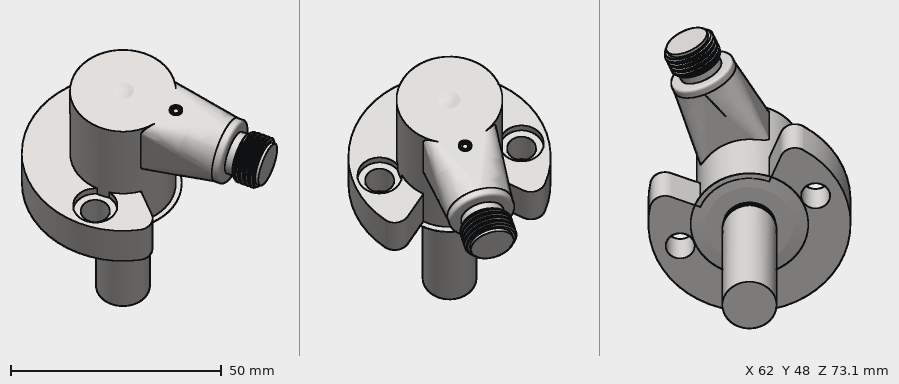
import cadquery as cq
import math

OVERALL_HEIGHT = 73.1
BODY_TOP = 72.65
FLANGE_TOP = 49.5
FLANGE_BOTTOM = 38.2
LIP_RIM_HEIGHT = 0.15
LIP_HEIGHT = 0.45
LIP_BOTTOM = FLANGE_BOTTOM - LIP_HEIGHT
ROD_TOP = 36.25

BODY_RADIUS = 12.6
CAP_RADIUS = 2.55
ROD_RADIUS = 6.4
NECK_RADIUS = 6.2
NECK_GROOVE_RADIUS = 6.0
NECK_GROOVE_WIDTH = 0.3
NECK_GROOVE_BOTTOM = 36.85
LIP_RIM_RADIUS = 13.95
LIP_BOTTOM_RADIUS = 10.4

FLANGE_DIAMETER = 48.0
FLANGE_RADIUS = FLANGE_DIAMETER / 2
NOTCH_HALF_ANGLE = math.radians(45)
NOTCH_CORNER_RADIUS = 3.6

HOLE_X = 0.95
HOLE_Y = 17.5
HOLE_DIAMETER = 6.9
COUNTERBORE_DIAMETER = 10.5
COUNTERBORE_DEPTH = 2.05

COLLAR_RADIUS = 8.05
HEAD_AXIS_Z = BODY_TOP - COLLAR_RADIUS
HEAD_ROOT_X = 4.4
HEAD_ROOT_HALF_WIDTH = 9.15
HEAD_ROOT_CORNER = 0.65
COLLAR_START_X = 27.05
COLLAR_END_X = 29.2
COLLAR_ROUNDING = 0.7
MERGED_HALF_FLAT = 0.01

SCREW_X = 13.9
SCREW_STEP_RADII = (1.5, 1.2, 0.7)
SCREW_STEP_DEPTH = 0.15

OVERALL_LENGTH = 62.0
CONNECTOR_RADIUS = 5.25
CONNECTOR_END_X = OVERALL_LENGTH - FLANGE_RADIUS
THREAD_START_X = 31.2
THREAD_END_X = 37.1
THREAD_RADIUS = 6.35
THREAD_DEPTH = 0.475
THREAD_PITCH = 1.25
THREAD_ROOT_FLAT = 0.3
THREAD_FLANK_ANGLE = math.radians(30)
THREAD_PHASE = -0.4
LEAD_IN_RADIUS = 5.55
LEAD_IN_LENGTH = 1.0
LEAD_OUT_LENGTH = 0.45
CUTTER_OVERHANG = 0.2
THREAD_RUNOUT = THREAD_PITCH
BLANK_RUNOUT = 3 * THREAD_PITCH


def cylinder(radius, bottom, top):
    """Vertical cylinder on the body axis."""
    return cq.Workplane("XY").workplane(offset=bottom).circle(radius).extrude(top - bottom)


def make_flange():
    """Round plate with a V notch toward +X whose outer corners are rounded."""
    center_distance = FLANGE_RADIUS - NOTCH_CORNER_RADIUS
    center_angle = NOTCH_HALF_ANGLE + math.asin(NOTCH_CORNER_RADIUS / center_distance)
    side_length = math.sqrt(center_distance**2 - NOTCH_CORNER_RADIUS**2)
    center_x = center_distance * math.cos(center_angle)
    center_y = center_distance * math.sin(center_angle)
    side_x = side_length * math.cos(NOTCH_HALF_ANGLE)
    side_y = side_length * math.sin(NOTCH_HALF_ANGLE)
    rim_x = FLANGE_RADIUS * math.cos(center_angle)
    rim_y = FLANGE_RADIUS * math.sin(center_angle)
    nose_x = center_x + NOTCH_CORNER_RADIUS

    plate = (
        cq.Workplane("XY")
        .workplane(offset=FLANGE_BOTTOM)
        .lineTo(side_x, side_y)
        .threePointArc((nose_x, center_y), (rim_x, rim_y))
        .threePointArc((-FLANGE_RADIUS, 0), (rim_x, -rim_y))
        .threePointArc((nose_x, -center_y), (side_x, -side_y))
        .close()
        .extrude(FLANGE_TOP - FLANGE_BOTTOM)
    )
    return (
        plate.faces(">Z")
        .workplane(origin=(0, 0, FLANGE_TOP))
        .pushPoints([(HOLE_X, HOLE_Y), (HOLE_X, -HOLE_Y)])
        .cboreHole(HOLE_DIAMETER, COUNTERBORE_DIAMETER, COUNTERBORE_DEPTH)
    )


def make_cap():
    """Shallow spherical dome on top of the body."""
    rise = OVERALL_HEIGHT - BODY_TOP
    sphere_radius = (CAP_RADIUS**2 + rise**2) / (2 * rise)
    sphere = cq.Workplane("XY").sphere(sphere_radius)
    sphere = sphere.translate((0, 0, OVERALL_HEIGHT - sphere_radius))
    return sphere.intersect(cylinder(CAP_RADIUS, BODY_TOP, OVERALL_HEIGHT))


def make_stem():
    """Lip below the flange, grooved neck and rod, all on the body axis."""
    groove_top = NECK_GROOVE_BOTTOM + NECK_GROOVE_WIDTH
    lip = (
        cq.Workplane("XZ")
        .moveTo(0, FLANGE_BOTTOM)
        .lineTo(LIP_RIM_RADIUS, FLANGE_BOTTOM)
        .lineTo(LIP_RIM_RADIUS, FLANGE_BOTTOM - LIP_RIM_HEIGHT)
        .lineTo(LIP_BOTTOM_RADIUS, LIP_BOTTOM)
        .lineTo(0, LIP_BOTTOM)
        .close()
        .revolve(360, (0, 0, 0), (0, 1, 0))
    )
    return (
        lip
        .union(cylinder(NECK_RADIUS, groove_top, LIP_BOTTOM))
        .union(cylinder(NECK_GROOVE_RADIUS, NECK_GROOVE_BOTTOM, groove_top))
        .union(cylinder(NECK_RADIUS, ROD_TOP, NECK_GROOVE_BOTTOM))
        .union(cylinder(ROD_RADIUS, 0, ROD_TOP))
    )


def head_plane(x):
    """Workplane facing +X on the head axis."""
    return cq.Workplane("YZ", origin=(x, 0, HEAD_AXIS_Z))


def make_head():
    """Tapered head from the body to the collar, plus the collar."""
    root = (
        cq.Sketch()
        .rect(2 * HEAD_ROOT_HALF_WIDTH, 2 * COLLAR_RADIUS)
        .vertices()
        .fillet(HEAD_ROOT_CORNER)
    )
    round_end = (
        cq.Sketch()
        .rect(2 * COLLAR_RADIUS, 2 * COLLAR_RADIUS)
        .vertices()
        .fillet(COLLAR_RADIUS - MERGED_HALF_FLAT)
    )
    length = COLLAR_START_X - HEAD_ROOT_X
    taper = (
        head_plane(HEAD_ROOT_X)
        .placeSketch(root, round_end.moved(cq.Location(cq.Vector(0, 0, length))))
        .loft(ruled=True)
    )
    collar = (
        head_plane(COLLAR_START_X)
        .circle(COLLAR_RADIUS)
        .extrude(COLLAR_END_X - COLLAR_START_X)
        .faces(">X")
        .edges()
        .fillet(COLLAR_ROUNDING)
    )
    return taper.union(collar)


def make_screw_recess():
    """Round recess of the set screw, narrowing in equal steps."""
    recess = cq.Workplane("XY")
    for step, radius in enumerate(SCREW_STEP_RADII, start=1):
        recess = recess.add(cylinder(radius, BODY_TOP - step * SCREW_STEP_DEPTH, BODY_TOP))
    return recess.combine().translate((SCREW_X, 0, 0))


def make_thread_cutter():
    """Helical groove along +Z, long enough to run out past both thread ends."""
    root_radius = THREAD_RADIUS - THREAD_DEPTH
    half_root = THREAD_ROOT_FLAT / 2
    cutter_depth = THREAD_DEPTH + CUTTER_OVERHANG
    half_mouth = half_root + cutter_depth * math.tan(THREAD_FLANK_ANGLE)
    mouth_radius = root_radius + cutter_depth
    length = THREAD_END_X - THREAD_START_X + 2 * THREAD_RUNOUT
    path = cq.Wire.makeHelix(THREAD_PITCH, length, root_radius)
    return (
        cq.Workplane("XZ")
        .moveTo(root_radius, -half_root)
        .lineTo(mouth_radius, -half_mouth)
        .lineTo(mouth_radius, half_mouth)
        .lineTo(root_radius, half_root)
        .close()
        .sweep(cq.Workplane(path), isFrenet=True)
    )


def make_connector():
    """Smooth core carrying a threaded barrel with tapered ends."""
    core = head_plane(COLLAR_END_X).circle(CONNECTOR_RADIUS)
    core = core.extrude(CONNECTOR_END_X - COLLAR_END_X)
    length = THREAD_END_X - THREAD_START_X
    root_radius = THREAD_RADIUS - THREAD_DEPTH
    envelope = (
        cq.Workplane("XZ")
        .lineTo(LEAD_IN_RADIUS, 0)
        .lineTo(THREAD_RADIUS, LEAD_IN_LENGTH)
        .lineTo(THREAD_RADIUS, length - LEAD_OUT_LENGTH)
        .lineTo(root_radius, length)
        .lineTo(0, length)
        .close()
        .revolve(360, (0, 0, 0), (0, 1, 0))
    )
    blank = cylinder(THREAD_RADIUS, -BLANK_RUNOUT, length + BLANK_RUNOUT)
    cutter = make_thread_cutter().translate((0, 0, THREAD_PHASE - THREAD_RUNOUT))
    barrel = blank.cut(cutter).intersect(envelope)
    barrel = barrel.rotate((0, 0, 0), (0, 1, 0), 90)
    return core.union(barrel.translate((THREAD_START_X, 0, HEAD_AXIS_Z)))


result = (
    make_flange()
    .union(cylinder(BODY_RADIUS, FLANGE_BOTTOM, BODY_TOP))
    .union(make_cap())
    .union(make_stem())
    .union(make_head())
    .cut(make_screw_recess())
    .union(make_connector())
)